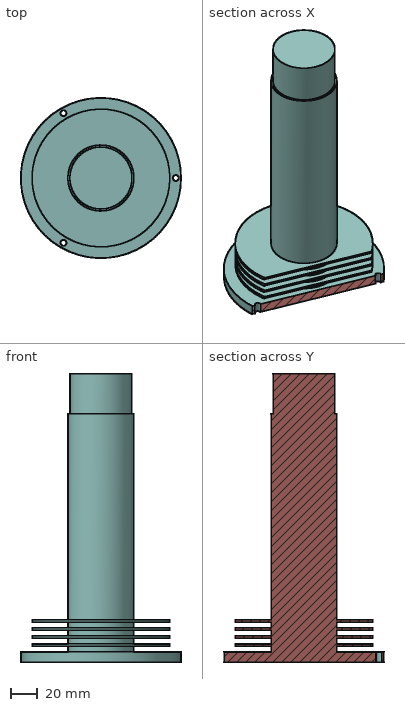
import cadquery as cq

total_height = 216.0
flange_diameter = 120.0
flange_thickness = 8.0

hole_diameter = 4.2
hole_circle_diameter = 112.0
hole_count = 3

column_diameter = 49.4
spigot_diameter = 46.4
spigot_length = 30.0

fin_diameter = 103.0
fin_thickness = 2.0
fin_pitch = 6.0
fin_count = 4
fin_gap = fin_pitch - fin_thickness


def disc(diameter, height, base_z):
    """Solid cylinder on the Z axis, standing on base_z."""
    return cq.Workplane("XY").workplane(offset=base_z).circle(diameter / 2).extrude(height)


def make_flange():
    """Base disc with screw holes evenly spaced, the first one on +X."""
    holes = (
        cq.Workplane("XY")
        .polarArray(hole_circle_diameter / 2, 0, 360, hole_count)
        .circle(hole_diameter / 2)
        .extrude(flange_thickness)
    )
    return disc(flange_diameter, flange_thickness, 0).cut(holes)


def make_column():
    """Central column with its narrower spigot at the top."""
    shoulder_z = total_height - spigot_length
    column = disc(column_diameter, shoulder_z, 0)
    return column.union(disc(spigot_diameter, spigot_length, shoulder_z))


def make_fin(index):
    """One cooling fin, counted upward from the flange."""
    return disc(fin_diameter, fin_thickness, flange_thickness + fin_gap + index * fin_pitch)


result = make_flange().union(make_column())
for fin_index in range(fin_count):
    result = result.union(make_fin(fin_index))